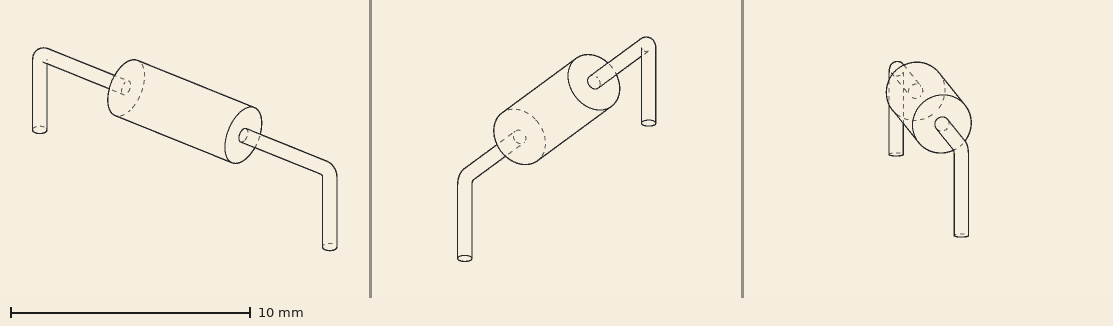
import cadquery as cq
import math

span = 16.0
body_diameter = 2.5
body_length = 6.22
wire_diameter = 0.6
inner_bend_radius = 0.02
overall_height = 5.0

wire_radius = wire_diameter / 2
bend_radius = wire_radius + inner_bend_radius
leg_x = span / 2 - wire_radius
bend_start_x = leg_x - bend_radius
leg_top_z = -bend_radius
leg_tip_z = body_diameter / 2 - overall_height


def make_body():
    """Plain cylinder along X."""
    return (
        cq.Workplane("YZ", origin=(-body_length / 2, 0, 0))
        .circle(body_diameter / 2)
        .extrude(body_length)
    )


def make_lead(turn):
    """Bent wire from a body end face to its leg tip, turned about Z by the given angle."""
    bend_middle = (
        bend_start_x + bend_radius * math.sin(math.radians(45)),
        leg_top_z + bend_radius * math.cos(math.radians(45)),
    )
    centreline = (
        cq.Workplane("XZ")
        .moveTo(body_length / 2, 0)
        .lineTo(bend_start_x, 0)
        .threePointArc(bend_middle, (leg_x, leg_top_z))
        .lineTo(leg_x, leg_tip_z)
    )
    return (
        cq.Workplane("YZ", origin=(body_length / 2, 0, 0))
        .circle(wire_radius)
        .sweep(centreline)
        .rotate((0, 0, 0), (0, 0, 1), turn)
    )


body = make_body()
leads = [make_lead(turn) for turn in (0, 180)]

result = cq.Compound.makeCompound([body.val(), *[lead.val() for lead in leads]])